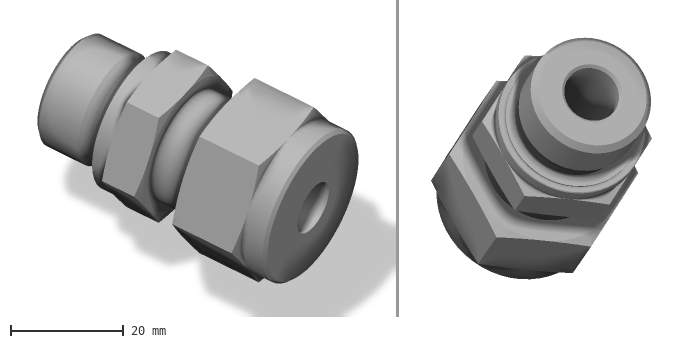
import cadquery as cq
import math


bore_radius = 5.0
bore_chamfer = 0.5
shank_radius = 11.0
end_chamfer = 1.1
thread_end = 9.45
relief_start = 11.4
relief_radius = 9.9
lip_face = 13.7
lip_radius = 12.3
lip_inner_radius = 10.55
undercut_end = lip_face + lip_inner_radius - relief_radius
collar_face = 14.0
collar_chamfer = 0.15
body_hex_start = 17.1
body_hex_end = 25.1
body_hex_flats = 26.95
collar_radius = body_hex_flats / 2

nut_start = 33.25
nut_hex_end = 47.2
nut_end = 52.25
nut_flats = 30.0
nut_rim_radius = nut_flats / 2
nut_rim_chamfer = 0.65

hex_chamfer_angle = 15.0


def revolve_about_x(points):
    """Solid of revolution about X from an outline of (x, radius) points."""
    return cq.Workplane("XY").polyline(points).close().revolve(360, (0, 0, 0), (1, 0, 0))


def cylinder_on_x(start, end, radius):
    return cq.Workplane("YZ", origin=(start, 0, 0)).circle(radius).extrude(end - start)


def chamfered_hexagon(start, end, flats):
    """Hexagon along X, flats facing up and down, with both ends turned to a shallow cone."""
    flat_radius = flats / 2
    corner_radius = flat_radius / math.cos(math.radians(30))
    corner_depth = (corner_radius - flat_radius) * math.tan(math.radians(hex_chamfer_angle))
    prism = (
        cq.Workplane("YZ", origin=(start, 0, 0))
        .polygon(6, 2 * corner_radius)
        .extrude(end - start)
    )
    turned_envelope = revolve_about_x([
        (start, 0),
        (start, flat_radius),
        (start + corner_depth, corner_radius),
        (end - corner_depth, corner_radius),
        (end, flat_radius),
        (end, 0),
    ])
    return prism.intersect(turned_envelope)


def make_body():
    turned = revolve_about_x([
        (0, 0),
        (0, shank_radius - end_chamfer),
        (end_chamfer, shank_radius),
        (thread_end, shank_radius),
        (relief_start, relief_radius),
        (undercut_end, relief_radius),
        (lip_face, lip_inner_radius),
        (lip_face, lip_radius),
        (collar_face, lip_radius),
        (collar_face, collar_radius - collar_chamfer),
        (collar_face + collar_chamfer, collar_radius),
        (body_hex_start, collar_radius),
        (body_hex_start, shank_radius),
        (nut_hex_end, shank_radius),
        (nut_hex_end, 0),
    ])
    hexagon = chamfered_hexagon(body_hex_start, body_hex_end, body_hex_flats)
    bore = revolve_about_x([
        (0, 0),
        (0, bore_radius + bore_chamfer),
        (bore_chamfer, bore_radius),
        (nut_hex_end, bore_radius),
        (nut_hex_end, 0),
    ])
    return turned.union(hexagon).cut(bore)


def make_nut():
    hexagon = chamfered_hexagon(nut_start, nut_hex_end, nut_flats)
    rim = revolve_about_x([
        (nut_hex_end, 0),
        (nut_hex_end, nut_rim_radius),
        (nut_end - nut_rim_chamfer, nut_rim_radius),
        (nut_end, nut_rim_radius - nut_rim_chamfer),
        (nut_end, 0),
    ])
    shank_recess = cylinder_on_x(nut_start, nut_hex_end, shank_radius)
    bore = cylinder_on_x(nut_hex_end, nut_end, bore_radius)
    return hexagon.union(rim).cut(shank_recess).cut(bore)


body = make_body()
nut = make_nut()

result = cq.Compound.makeCompound([body.solids().val(), nut.solids().val()])